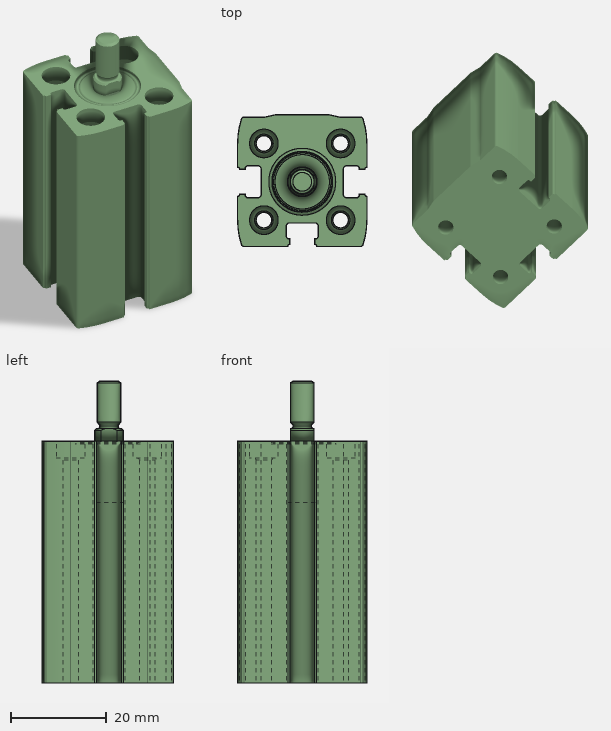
import cadquery as cq
import math

TOTAL_HEIGHT = 63.0
HOUSING_HEIGHT = 50.45
HALF_WIDTH = 27.0 / 2

SIDE_FLAT_HALF = 8.0
SIDE_ARC_RADIUS = 16.4
CORNER_RADIUS = 0.55
CREST_RISE = 0.5
CREST_TOP_HALF = 5.55
CREST_BASE_HALF = 7.8

SLOT_ANGLES = (-90, 0, 90)
SLOT_MOUTH_WIDTH = 5.15
SLOT_INNER_WIDTH = 6.6
SLOT_LIP = 1.65
SLOT_DEPTH = 4.9
SLOT_FLOOR_RADIUS = 0.6
SLOT_SHOULDER_RADIUS = 0.5
SLOT_MOUTH_RADIUS = 0.45

HOLE_OFFSET = 8.0
HOLE_DIAMETER = 3.2
HOLE_CHAMFER_DIAMETER = 3.9
COUNTERBORE_DIAMETER = 6.0
COUNTERBORE_DEPTH = 3.5

CAP_RADIUS = 14.0 / 2
CAP_RECESS = 0.2
CAP_EDGE_WIDTH = 0.6
GROOVE_RADIUS = 12.0 / 2
GROOVE_OUTER_WIDTH = 0.25
GROOVE_INNER_WIDTH = 0.3
SLOPE = math.tan(math.radians(30))
CAP_TOP = HOUSING_HEIGHT - CAP_RECESS

ROD_RADIUS = 6.0 / 2
ROD_INSERTION = 12.6
ROD_HOLE_CHAMFER = 0.1
FLATS_WIDTH = 5.0
COLLAR_HEIGHT = 2.65
COLLAR_CHAMFER = 0.4
COLLAR_TOP = HOUSING_HEIGHT + COLLAR_HEIGHT
THREAD_RADIUS = 5.0 / 2
TIP_RADIUS = 3.9 / 2
TIP_CHAMFER_HEIGHT = 0.4
THREAD_LENGTH = 8.55
NECK_RADIUS = 3.9 / 2
NECK_FILLET = 0.4
SHOULDER_RADIUS = 4.15 / 2


def body_outline():
    """Outer profile: square with curved corner ends and a raised strip on +Y."""
    run = HALF_WIDTH - SIDE_FLAT_HALF
    inset = SIDE_ARC_RADIUS - math.sqrt(SIDE_ARC_RADIUS**2 - run**2)
    corner_x = HALF_WIDTH - inset
    block = (
        cq.Workplane("XY")
        .moveTo(-corner_x, -HALF_WIDTH)
        .lineTo(corner_x, -HALF_WIDTH)
        .radiusArc((HALF_WIDTH, -SIDE_FLAT_HALF), -SIDE_ARC_RADIUS)
        .lineTo(HALF_WIDTH, SIDE_FLAT_HALF)
        .radiusArc((corner_x, HALF_WIDTH), -SIDE_ARC_RADIUS)
        .lineTo(CREST_BASE_HALF, HALF_WIDTH)
        .lineTo(CREST_TOP_HALF, HALF_WIDTH + CREST_RISE)
        .lineTo(-CREST_TOP_HALF, HALF_WIDTH + CREST_RISE)
        .lineTo(-CREST_BASE_HALF, HALF_WIDTH)
        .lineTo(-corner_x, HALF_WIDTH)
        .radiusArc((-HALF_WIDTH, SIDE_FLAT_HALF), -SIDE_ARC_RADIUS)
        .lineTo(-HALF_WIDTH, -SIDE_FLAT_HALF)
        .radiusArc((-corner_x, -HALF_WIDTH), -SIDE_ARC_RADIUS)
        .close()
        .extrude(HOUSING_HEIGHT)
    )
    for sx in (-1, 1):
        for sy in (-1, 1):
            corner = (sx * corner_x, sy * HALF_WIDTH, HOUSING_HEIGHT / 2)
            block = block.edges(cq.selectors.NearestToPointSelector(corner)).fillet(CORNER_RADIUS)
    return block


def t_slot(angle):
    """T-slot cutter for the -Y face, turned by the angle about Z."""
    mouth = SLOT_MOUTH_WIDTH / 2
    inner = SLOT_INNER_WIDTH / 2
    face = -HALF_WIDTH
    flare = SLOT_MOUTH_RADIUS
    shoulder = face + SLOT_LIP
    floor = face + SLOT_DEPTH
    chamber = (
        cq.Workplane("XY")
        .moveTo(0, (shoulder + floor) / 2)
        .rect(2 * inner, floor - shoulder)
        .extrude(HOUSING_HEIGHT)
    )
    chamber = chamber.edges("|Z and >Y").fillet(SLOT_FLOOR_RADIUS)
    chamber = chamber.edges("|Z and <Y").fillet(SLOT_SHOULDER_RADIUS)
    throat = (
        cq.Workplane("XY")
        .moveTo(-mouth - flare, face)
        .radiusArc((-mouth, face + flare), flare)
        .lineTo(-mouth, shoulder)
        .lineTo(mouth, shoulder)
        .lineTo(mouth, face + flare)
        .radiusArc((mouth + flare, face), flare)
        .close()
        .extrude(HOUSING_HEIGHT)
    )
    return chamber.union(throat).rotate((0, 0, 0), (0, 0, 1), angle)


def revolved(points):
    """Solid of revolution about Z from (radius, height) points."""
    return cq.Workplane("XZ").polyline(points).close().revolve(360, (0, 0, 0), (0, 1, 0))


def mounting_hole():
    """Counterbored through hole with a chamfered edge at the counterbore floor."""
    bore = HOLE_DIAMETER / 2
    rim = HOLE_CHAMFER_DIAMETER / 2
    head = COUNTERBORE_DIAMETER / 2
    floor = HOUSING_HEIGHT - COUNTERBORE_DEPTH
    return revolved([
        (0, 0),
        (bore, 0),
        (bore, floor - (rim - bore)),
        (rim, floor),
        (head, floor),
        (head, HOUSING_HEIGHT),
        (0, HOUSING_HEIGHT),
    ])


def cap_recess():
    """Space above the cap, with a sloped band around its edge."""
    edge_radius = CAP_RADIUS - CAP_EDGE_WIDTH
    return revolved([
        (0, CAP_TOP),
        (edge_radius, CAP_TOP),
        (CAP_RADIUS, CAP_TOP - CAP_EDGE_WIDTH * SLOPE),
        (CAP_RADIUS, HOUSING_HEIGHT),
        (0, HOUSING_HEIGHT),
    ])


def cap_groove():
    """V-groove with sloped walls in the cap face."""
    return revolved([
        (GROOVE_RADIUS - GROOVE_INNER_WIDTH, CAP_TOP),
        (GROOVE_RADIUS, CAP_TOP - GROOVE_INNER_WIDTH * SLOPE),
        (GROOVE_RADIUS, CAP_TOP - GROOVE_OUTER_WIDTH * SLOPE),
        (GROOVE_RADIUS + GROOVE_OUTER_WIDTH, CAP_TOP),
    ])


def rod_hole():
    """Blind hole for the rod, with a chamfered mouth."""
    bottom = CAP_TOP - ROD_INSERTION
    return revolved([
        (0, bottom),
        (ROD_RADIUS, bottom),
        (ROD_RADIUS, CAP_TOP - ROD_HOLE_CHAMFER),
        (ROD_RADIUS + ROD_HOLE_CHAMFER, CAP_TOP),
        (0, CAP_TOP),
    ])


def make_housing():
    """Extruded housing with T-slots, mounting holes, a recessed cap and the rod hole."""
    housing = body_outline()
    for angle in SLOT_ANGLES:
        housing = housing.cut(t_slot(angle))
    hole = mounting_hole()
    for x in (-HOLE_OFFSET, HOLE_OFFSET):
        for y in (-HOLE_OFFSET, HOLE_OFFSET):
            housing = housing.cut(hole.translate((x, y, 0)))
    return housing.cut(cap_recess()).cut(cap_groove()).cut(rod_hole())


def wrench_flat(side):
    """Cutter for one flat, from the cap up over the collar, with a sloped run-out below the cap face."""
    flat = FLATS_WIDTH / 2
    outside = 2 * ROD_RADIUS
    return (
        cq.Workplane("XZ")
        .polyline([
            (side * flat, CAP_TOP),
            (side * flat, COLLAR_TOP),
            (side * outside, COLLAR_TOP),
            (side * outside, CAP_TOP - (outside - flat) * SLOPE),
        ])
        .close()
        .extrude(ROD_RADIUS, both=True)
    )


def make_rod():
    """Rod with a collar, a rounded neck and a plain thread cylinder."""
    bottom = CAP_TOP - ROD_INSERTION
    thread_bottom = TOTAL_HEIGHT - THREAD_LENGTH
    neck_top = thread_bottom - (THREAD_RADIUS - SHOULDER_RADIUS)
    neck_drop = SHOULDER_RADIUS - NECK_RADIUS
    arc_height = math.sqrt(NECK_FILLET**2 - (NECK_FILLET - neck_drop) ** 2)
    rod = (
        cq.Workplane("XZ")
        .moveTo(0, bottom)
        .lineTo(ROD_RADIUS, bottom)
        .lineTo(ROD_RADIUS, COLLAR_TOP - COLLAR_CHAMFER)
        .lineTo(ROD_RADIUS - COLLAR_CHAMFER, COLLAR_TOP)
        .lineTo(NECK_RADIUS + NECK_FILLET, COLLAR_TOP)
        .radiusArc((NECK_RADIUS, COLLAR_TOP + NECK_FILLET), NECK_FILLET)
        .lineTo(NECK_RADIUS, neck_top - arc_height)
        .radiusArc((SHOULDER_RADIUS, neck_top), NECK_FILLET)
        .lineTo(THREAD_RADIUS, thread_bottom)
        .lineTo(THREAD_RADIUS, TOTAL_HEIGHT - TIP_CHAMFER_HEIGHT)
        .lineTo(TIP_RADIUS, TOTAL_HEIGHT)
        .lineTo(0, TOTAL_HEIGHT)
        .close()
        .revolve(360, (0, 0, 0), (0, 1, 0))
    )
    for side in (-1, 1):
        rod = rod.cut(wrench_flat(side))
    return rod


housing = make_housing()
rod = make_rod()
result = cq.Compound.makeCompound([housing.val(), rod.val()])